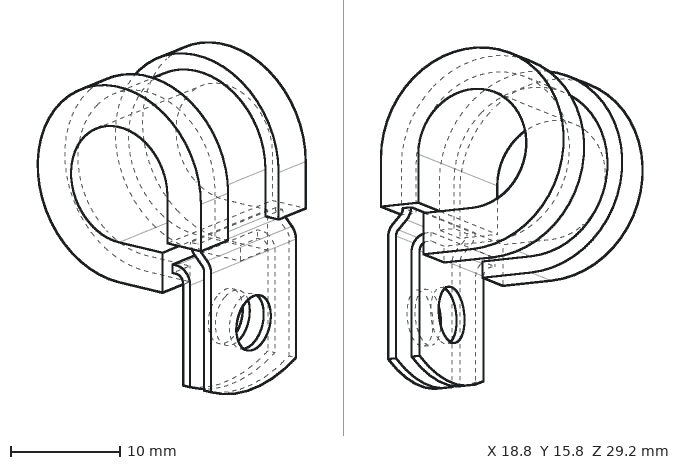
import cadquery as cq
import math

cushion_outer_radius = 9.4
cushion_inner_radius = 5.55
cushion_width = 15.75
upper_leg_end_z = -4.52
lower_leg_end_x = 5.0

strap_outer_radius = 7.88
strap_thickness = 0.82
strap_inner_radius = strap_outer_radius - strap_thickness
strap_width = 12.75
groove_width = 7.6

tab_bottom_z = -19.8
tab_corner_z = -18.48
lower_tab_outer_x = 7.0
upper_tab_outer_x = 9.43
bend_inner_radius = 0.8
bend_outer_radius = bend_inner_radius + strap_thickness
joggle_angle = math.radians(45)
hole_diameter = 5.17
hole_z = -13.45


def extrude_along_y(profile, width):
    """Extrude an XZ profile symmetrically about the XZ plane."""
    return profile.extrude(width / 2, both=True)


def loop(outer_radius, inner_radius, width):
    """Three-quarter ring with one leg pointing down and one pointing to +X."""
    outer_mid = -outer_radius * math.sqrt(0.5)
    inner_mid = -inner_radius * math.sqrt(0.5)
    profile = (
        cq.Workplane("XZ")
        .moveTo(outer_radius, upper_leg_end_z)
        .lineTo(outer_radius, 0)
        .threePointArc((outer_mid, -outer_mid), (0, -outer_radius))
        .lineTo(lower_leg_end_x, -outer_radius)
        .lineTo(lower_leg_end_x, -inner_radius)
        .lineTo(0, -inner_radius)
        .threePointArc((inner_mid, -inner_mid), (inner_radius, 0))
        .lineTo(inner_radius, upper_leg_end_z)
        .close()
    )
    return extrude_along_y(profile, width)


def polar(center, radius, angle):
    """Point at an angle, measured from +X towards +Z, around a center."""
    return (center[0] + radius * math.cos(angle), center[1] + radius * math.sin(angle))


def lower_tab():
    """Strap leaving the lower leg and turning straight down."""
    bend_center = (lower_tab_outer_x - bend_outer_radius, -strap_outer_radius - bend_inner_radius)
    mid_angle = math.pi / 4
    profile = (
        cq.Workplane("XZ")
        .moveTo(lower_leg_end_x, -strap_inner_radius)
        .lineTo(bend_center[0], -strap_inner_radius)
        .threePointArc(
            polar(bend_center, bend_outer_radius, mid_angle),
            (lower_tab_outer_x, bend_center[1]),
        )
        .lineTo(lower_tab_outer_x, tab_bottom_z)
        .lineTo(lower_tab_outer_x - strap_thickness, tab_bottom_z)
        .lineTo(lower_tab_outer_x - strap_thickness, bend_center[1])
        .threePointArc(
            polar(bend_center, bend_inner_radius, mid_angle),
            (bend_center[0], -strap_outer_radius),
        )
        .lineTo(lower_leg_end_x, -strap_outer_radius)
        .close()
    )
    return extrude_along_y(profile, strap_width)


def upper_tab():
    """Strap leaving the upper leg, stepping outward through two bends, then running down."""
    offset = upper_tab_outer_x - strap_outer_radius
    bend_radii_sum = bend_inner_radius + bend_outer_radius
    slant_x = offset - bend_radii_sum * (1 - math.cos(joggle_angle))
    joggle_height = bend_radii_sum * math.sin(joggle_angle) + slant_x / math.tan(joggle_angle)
    joggle_end_z = upper_leg_end_z - joggle_height
    first_center = (strap_outer_radius + bend_inner_radius, upper_leg_end_z)
    second_center = (upper_tab_outer_x - bend_outer_radius, joggle_end_z)
    first_mid = math.pi + joggle_angle / 2
    first_end = math.pi + joggle_angle
    profile = (
        cq.Workplane("XZ")
        .moveTo(strap_outer_radius, upper_leg_end_z)
        .threePointArc(
            polar(first_center, bend_inner_radius, first_mid),
            polar(first_center, bend_inner_radius, first_end),
        )
        .lineTo(*polar(second_center, bend_outer_radius, joggle_angle))
        .threePointArc(
            polar(second_center, bend_outer_radius, joggle_angle / 2),
            (upper_tab_outer_x, joggle_end_z),
        )
        .lineTo(upper_tab_outer_x, tab_bottom_z)
        .lineTo(upper_tab_outer_x - strap_thickness, tab_bottom_z)
        .lineTo(upper_tab_outer_x - strap_thickness, joggle_end_z)
        .threePointArc(
            polar(second_center, bend_inner_radius, joggle_angle / 2),
            polar(second_center, bend_inner_radius, joggle_angle),
        )
        .lineTo(*polar(first_center, bend_outer_radius, first_end))
        .threePointArc(
            polar(first_center, bend_outer_radius, first_mid),
            (strap_inner_radius, upper_leg_end_z),
        )
        .close()
    )
    return extrude_along_y(profile, strap_width)


def tab_outline():
    """Block with the tabs' rounded lower end and the bolt hole, seen along X."""
    half_width = strap_width / 2
    outline = (
        cq.Workplane("YZ")
        .moveTo(-half_width, 0)
        .lineTo(-half_width, tab_corner_z)
        .threePointArc((0, tab_bottom_z), (half_width, tab_corner_z))
        .lineTo(half_width, 0)
        .close()
        .extrude(upper_tab_outer_x)
    )
    hole = (
        cq.Workplane("YZ")
        .center(0, hole_z)
        .circle(hole_diameter / 2)
        .extrude(upper_tab_outer_x)
    )
    return outline.cut(hole)


cushion = loop(cushion_outer_radius, cushion_inner_radius, cushion_width)
groove = loop(cushion_outer_radius, strap_outer_radius, groove_width)
tabs = lower_tab().add(upper_tab()).combine().intersect(tab_outline())

result = cushion.cut(groove).union(tabs)